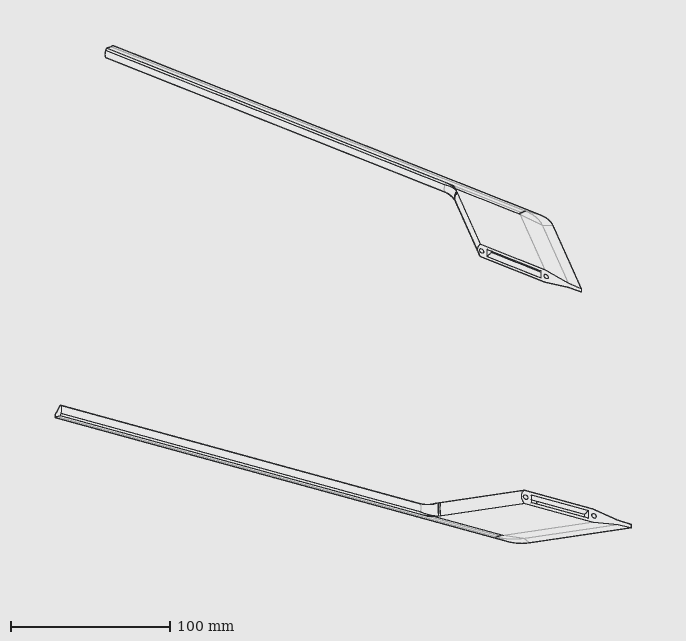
import cadquery as cq
import math

total_length = 380.0
total_depth = 49.13
total_thickness = 10.0
rake = math.radians(41.9)
rake_sin = math.sin(rake)
rake_cos = math.cos(rake)

edge_half = 1.3
tongue_half = 1.75
rod_half = 4.0
blade_half = total_thickness / 2

tongue_inset = 2.3
rod_crease_inset = 7.3
flat_inset = 10.3

tongue_run = 9.8
flat_run = 27.2

bend_x = 308.5
outer_bend_radius = 19.0
flat_bend_radius = 0.5

rod_depth = 9.1
rod_corner_inset = 8.4
rod_corner_half = 2.9
nose_y = total_depth - rod_depth

neck_radius = 15.0
neck_tangent = neck_radius * math.tan(rake / 2)
neck_root_depth = 3.6
neck_end_land = 0.1

leading_x = 302.7
leading_bulge = 1.4
chord_x = leading_x + leading_bulge / rake_sin

mount_x = 329.7
pocket_length = 40.0
pocket_height = 5.6
pocket_depth = 5.0
floor_dip = 1.0
end_relief_length = 6.5
end_relief_dip = 2.6
slit_x = 333.2
slit_length = 7.5
slit_height = 1.2
slit_depth = 9.0
pin_spacing = 48.0
pin_diameter = 3.2
pin_depth = 5.0


def raked_x(x_at_mount, y):
    """X of a raked line at height y, given where it crosses y = 0."""
    return x_at_mount - y / math.tan(rake)


def blade_outline(inset, run, radius):
    """Plan of the blade at one level; the back corner is an arc of the given radius."""
    back_y = total_depth - inset
    trailing_x = total_length - run
    corner_x = raked_x(trailing_x, back_y)
    tangent = radius * math.tan(rake / 2)
    arc_start = (corner_x - tangent, back_y)
    arc_mid = (
        arc_start[0] + radius * math.sin(rake / 2),
        back_y - radius * (1 - math.cos(rake / 2)),
    )
    arc_end = (corner_x + tangent * rake_cos, back_y - tangent * rake_sin)
    return (
        cq.Workplane("XY")
        .moveTo(chord_x, 0)
        .lineTo(raked_x(chord_x, back_y), back_y)
        .lineTo(*arc_start)
        .threePointArc(arc_mid, arc_end)
        .lineTo(trailing_x, 0)
        .close()
    )


def bend_radius_from(inset, run):
    """Radius of the corner arc that starts at bend_x on the given crease."""
    corner_x = raked_x(total_length - run, total_depth - inset)
    return (corner_x - bend_x) / math.tan(rake / 2)


def blade():
    """Blade with flat faces, a bevelled back and a square leading edge."""
    levels = [
        (edge_half, 0.0, 0.0, outer_bend_radius),
        (tongue_half, tongue_inset, tongue_run, bend_radius_from(tongue_inset, tongue_run)),
        (blade_half, flat_inset, flat_run, flat_bend_radius),
    ]
    outlines = []
    for height, inset, run, radius in levels:
        wire = blade_outline(inset, run, radius).val()
        outlines.append(wire.translate(cq.Vector(0, 0, height)))
    body = blade_outline(0.0, 0.0, outer_bend_radius).extrude(edge_half, both=True)
    for lower, upper in zip(outlines, outlines[1:]):
        layer = cq.Workplane(obj=cq.Solid.makeLoft([lower, upper], True))
        body = body.union(layer).union(layer.mirror("XY"))
    return body


def crest():
    """Crowned bevel along the rod side of the blade, from the rod's crease to the flat."""
    crown = [
        (total_depth - tongue_inset, tongue_half),
        (total_depth - rod_crease_inset, rod_half),
        (total_depth - flat_inset, blade_half),
    ]
    lower_crown = [(y, -z) for y, z in reversed(crown)]
    bar = cq.Workplane("YZ").polyline(crown + lower_crown).close().extrude(bend_x)
    footprint = blade_outline(0.0, 0.0, outer_bend_radius).extrude(blade_half, both=True)
    return bar.intersect(footprint)


def leading_edge():
    """Rounded strip along the leading edge, from the mounting face up to the neck."""
    seam_overlap = 0.3
    length = nose_y / rake_sin - neck_tangent + seam_overlap
    blade_overlap = 1.0
    overrun = 5.0
    plane = cq.Plane(
        origin=(chord_x + overrun * rake_cos, -overrun * rake_sin, 0),
        xDir=(rake_sin, rake_cos, 0),
        normal=(-rake_cos, rake_sin, 0),
    )
    strip = (
        cq.Workplane(plane)
        .moveTo(blade_overlap, -blade_half)
        .lineTo(0, -blade_half)
        .threePointArc((-leading_bulge, 0), (0, blade_half))
        .lineTo(blade_overlap, blade_half)
        .close()
        .extrude(length + overrun)
    )
    envelope = cq.Workplane("XY").box(
        total_length, total_depth, total_thickness, centered=(False, False, True)
    )
    return strip.intersect(envelope)


def rod():
    """Straight rod from x = 0 to the bend."""
    tongue_y = total_depth - tongue_inset
    crease_y = total_depth - rod_crease_inset
    corner_y = total_depth - rod_corner_inset
    return (
        cq.Workplane("YZ")
        .moveTo(total_depth, -edge_half)
        .lineTo(tongue_y, -tongue_half)
        .lineTo(crease_y, -rod_half)
        .lineTo(corner_y, -rod_corner_half)
        .threePointArc((nose_y, 0), (corner_y, rod_corner_half))
        .lineTo(crease_y, rod_half)
        .lineTo(tongue_y, tongue_half)
        .lineTo(total_depth, edge_half)
        .close()
        .extrude(bend_x)
    )


def neck_section(share):
    """Section of the neck after the given share (0 to 1) of its turn."""
    def blend(at_rod, at_blade):
        return at_rod + (at_blade - at_rod) * share

    turn = rake * share
    plane = cq.Plane(
        origin=(raked_x(leading_x, nose_y) - neck_tangent, nose_y - neck_radius, 0),
        xDir=(math.sin(turn), math.cos(turn), 0),
        normal=(math.cos(turn), -math.sin(turn), 0),
    )
    root = neck_radius + neck_root_depth
    crest_at = neck_radius + blend(rod_depth - rod_crease_inset, leading_bulge + neck_end_land)
    crest_half = rod_half + (blade_half - rod_half) * share**2
    corner_at = neck_radius + blend(rod_depth - rod_corner_inset, leading_bulge)
    corner_half = blend(rod_corner_half, blade_half - neck_end_land)
    return (
        cq.Workplane(plane)
        .moveTo(root, -rod_corner_half)
        .lineTo(crest_at, -crest_half)
        .lineTo(corner_at, -corner_half)
        .threePointArc((neck_radius, 0), (corner_at, corner_half))
        .lineTo(crest_at, crest_half)
        .lineTo(root, rod_corner_half)
        .close()
        .val()
    )


def neck():
    """Concave turn that widens from the rod's nose to the leading edge."""
    sections = [neck_section(share) for share in (0, 0.5, 1)]
    return cq.Workplane(obj=cq.Solid.makeLoft(sections))


def v_pocket(x_min, length, dip):
    """Pocket in the mounting face whose floor dips to a V along its middle."""
    half = pocket_height / 2
    return (
        cq.Workplane("YZ", origin=(x_min, 0, 0))
        .polyline([
            (0, -half),
            (pocket_depth, -half),
            (pocket_depth + dip, 0),
            (pocket_depth, half),
            (0, half),
        ])
        .close()
        .extrude(length)
    )


def pin_hole(x):
    """Blind hole in the mounting face with a 45 degree conical bottom."""
    radius = pin_diameter / 2
    return (
        cq.Workplane("XY")
        .polyline([(x, 0), (x + radius, 0), (x + radius, pin_depth), (x, pin_depth + radius)])
        .close()
        .revolve(360, (x, 0, 0), (x, 1, 0))
    )


def mount_cuts():
    """Everything cut into the mounting face."""
    pocket_start = mount_x - pocket_length / 2
    slit = (
        cq.Workplane("XY", origin=(slit_x, 0, 0))
        .box(slit_length, slit_depth, slit_height, centered=(True, False, True))
    )
    cuts = v_pocket(pocket_start, pocket_length, floor_dip)
    cuts = cuts.union(v_pocket(pocket_start, end_relief_length, end_relief_dip))
    cuts = cuts.union(slit)
    for side in (-1, 1):
        cuts = cuts.union(pin_hole(mount_x + side * pin_spacing / 2))
    return cuts


body = blade().union(crest()).union(leading_edge()).union(rod()).union(neck())
result = body.cut(mount_cuts()).solids()